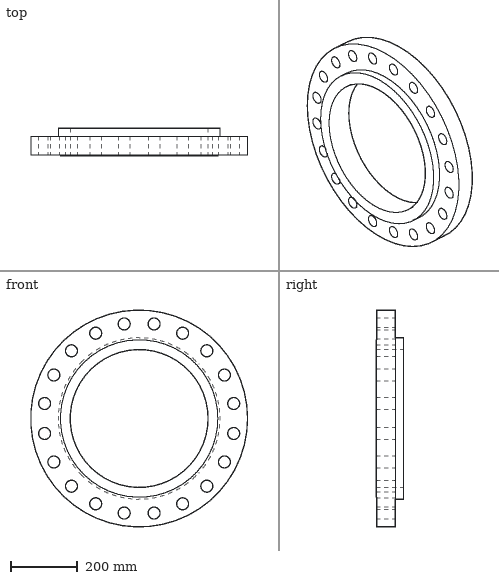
import cadquery as cq

flange_diameter = 648.0
bore_diameter = 410.5
total_length = 83.0

face_diameter = 469.5
face_height = 2.0
hub_diameter = 482.5
hub_length = 24.5
flange_thickness = total_length - face_height - hub_length

bolt_count = 20
bolt_hole_diameter = 35.0
bolt_circle_diameter = 571.0
first_bolt_angle = 360 / bolt_count / 2


def disc(diameter, start_y, length):
    """Solid disc around the Y axis, from start_y towards +Y."""
    plane = cq.Workplane("XZ", origin=(0, start_y, 0))
    return plane.circle(diameter / 2).extrude(-length)


raised_face = disc(face_diameter, 0, face_height)
flange = disc(flange_diameter, face_height, flange_thickness)
hub = disc(hub_diameter, face_height + flange_thickness, hub_length)
body = raised_face.union(flange).union(hub)

bore = disc(bore_diameter, 0, total_length)

bolt_holes = (
    cq.Workplane("XZ")
    .polarArray(bolt_circle_diameter / 2, first_bolt_angle, 360, bolt_count)
    .circle(bolt_hole_diameter / 2)
    .extrude(-total_length)
)

result = body.cut(bore).cut(bolt_holes)